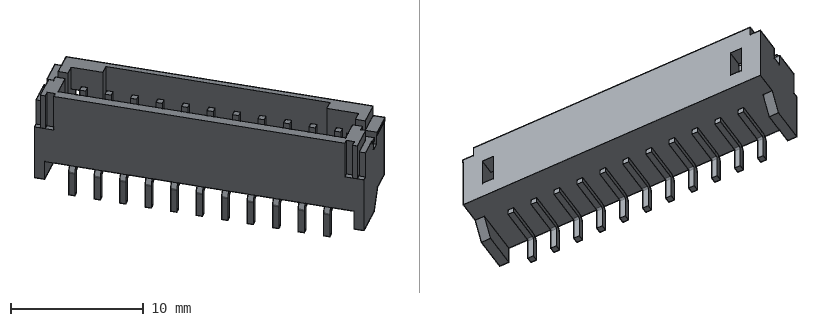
import cadquery as cq
import math

overall_length = 25.9
depth = 5.6
height = 8.6

lip_overhang = 0.05
lip_height = 0.28
half_length = (overall_length - lip_overhang) / 2

standoff = 0.1
body_bottom = 2.6
cheek_bottom = 0.98
cheek_thickness = 0.8
cheek_slope_top_y = 3.8
cheek_slope_foot_y = 2.87

end_wall = 1.65
front_wall_inner_y = 0.83
key_shoulder_y = 4.3
keyway_back_y = 5.13
keyway_width = 17.55
slope_back_y = 2.7
slope_front_y = 2.07
back_floor_z = 4.1
front_floor_z = back_floor_z - (slope_back_y - slope_front_y)

slot_back_y = 3.47
slot_front_y = slope_back_y
slot_floor_z = 6.65
shoulder_z = height - 0.85
shoulder_width = 0.88
ledge_width = 0.5
ledge_back_y = 2.23

window_width = 0.95
window_top_z = 6.63

relief_width = 1.5
relief_back_y = 0.52
relief_floor_z = 5.57
rib_bottom_z = 5.65

pin_count = 11
pin_row_span = 20.0
pin_pitch = pin_row_span / (pin_count - 1)
pin_row_center_x = lip_overhang / 2
pin_size = 0.5
pin_front_y = 2.95
pin_top_z = 7.6
bend_outer_radius = 0.62


def block(x_range, y_range, z_range):
    """Axis-aligned box between the given limits."""
    (x0, x1), (y0, y1), (z0, z1) = x_range, y_range, z_range
    return cq.Workplane("XY").box(x1 - x0, y1 - y0, z1 - z0, centered=False).translate((x0, y0, z0))


def extrude_along_x(points, x0, x1):
    """Closed outline of (y, z) points swept from x0 to x1."""
    return cq.Workplane("YZ", origin=(x0, 0, 0)).polyline(points).close().extrude(x1 - x0)


def both_ends(shape):
    """The shape at the -X end together with its mirror image at the +X end."""
    return shape.union(shape.mirror("YZ"))


def cavity():
    """Mating cavity with a sloped floor step and a wide keyway at the back."""
    inner_half = half_length - end_wall
    main = extrude_along_x(
        [
            (front_wall_inner_y, height),
            (front_wall_inner_y, front_floor_z),
            (slope_front_y, front_floor_z),
            (slope_back_y, back_floor_z),
            (key_shoulder_y, back_floor_z),
            (key_shoulder_y, height),
        ],
        -inner_half,
        inner_half,
    )
    keyway = block(
        (-keyway_width / 2, keyway_width / 2), (key_shoulder_y, keyway_back_y), (back_floor_z, height)
    )
    return main.union(keyway)


def end_cuts():
    """Slot, stepped shoulder and corner relief at the -X end."""
    end = -half_length
    slot = block((end, end + end_wall), (slot_front_y, slot_back_y), (slot_floor_z, height))
    shoulder = block((end, end + shoulder_width), (ledge_back_y, depth), (shoulder_z, height))
    ledge = block((end, end + ledge_width), (standoff, ledge_back_y), (shoulder_z, height))
    relief = block((end, end + relief_width), (standoff, relief_back_y), (relief_floor_z, height))
    return slot.union(shoulder).union(ledge).union(relief)


def back_window():
    """Window from the cavity through the back wall at the -X end."""
    inner_x = end_wall - half_length
    return block((inner_x, inner_x + window_width), (key_shoulder_y, depth), (back_floor_z, window_top_z))


def corner_rib():
    """Vertical rib reaching out to the mounting plane at the -X end."""
    return block(
        (ledge_width - half_length, shoulder_width - half_length), (0, relief_back_y), (rib_bottom_z, height)
    )


def shoulder_lip():
    """Thin lip at the top of the +X shoulder, interrupted by the side slot."""
    x_range = (half_length, half_length + lip_overhang)
    z_range = (shoulder_z - lip_height, shoulder_z)
    front = block(x_range, (ledge_back_y, slot_front_y), z_range)
    back = block(x_range, (slot_back_y, depth), z_range)
    return front.union(back)


def cheek():
    """Side cheek below the housing with a sloped rear edge at the -X end."""
    return extrude_along_x(
        [
            (standoff, body_bottom),
            (standoff, cheek_bottom),
            (cheek_slope_foot_y, cheek_bottom),
            (cheek_slope_top_y, body_bottom),
        ],
        -half_length,
        cheek_thickness - half_length,
    )


def pin(x_center):
    """Pin rising through the floor, running forward under the housing and bending down."""
    pin_back_y = pin_front_y + pin_size
    run_bottom_z = body_bottom - pin_size
    bend_y = bend_outer_radius
    bend_z = body_bottom - bend_outer_radius
    bend_inner_radius = bend_outer_radius - pin_size
    outer_offset = bend_outer_radius * math.sqrt(0.5)
    inner_offset = bend_inner_radius * math.sqrt(0.5)
    outer_mid = (bend_y - outer_offset, bend_z + outer_offset)
    inner_mid = (bend_y - inner_offset, bend_z + inner_offset)
    return (
        cq.Workplane("YZ", origin=(x_center - pin_size / 2, 0, 0))
        .moveTo(0, 0)
        .lineTo(0, bend_z)
        .threePointArc(outer_mid, (bend_y, body_bottom))
        .lineTo(pin_front_y, body_bottom)
        .lineTo(pin_front_y, pin_top_z)
        .lineTo(pin_back_y, pin_top_z)
        .lineTo(pin_back_y, run_bottom_z)
        .lineTo(bend_y, run_bottom_z)
        .threePointArc(inner_mid, (pin_size, bend_z))
        .lineTo(pin_size, 0)
        .close()
        .extrude(pin_size)
    )


housing = block((-half_length, half_length), (standoff, depth), (body_bottom, height))
housing = housing.cut(cavity()).cut(both_ends(end_cuts().union(back_window())))
housing = housing.union(both_ends(corner_rib())).union(both_ends(cheek())).union(shoulder_lip())

result = housing
for index in range(pin_count):
    pin_x = pin_row_center_x + (index - (pin_count - 1) / 2) * pin_pitch
    result = result.union(pin(pin_x))